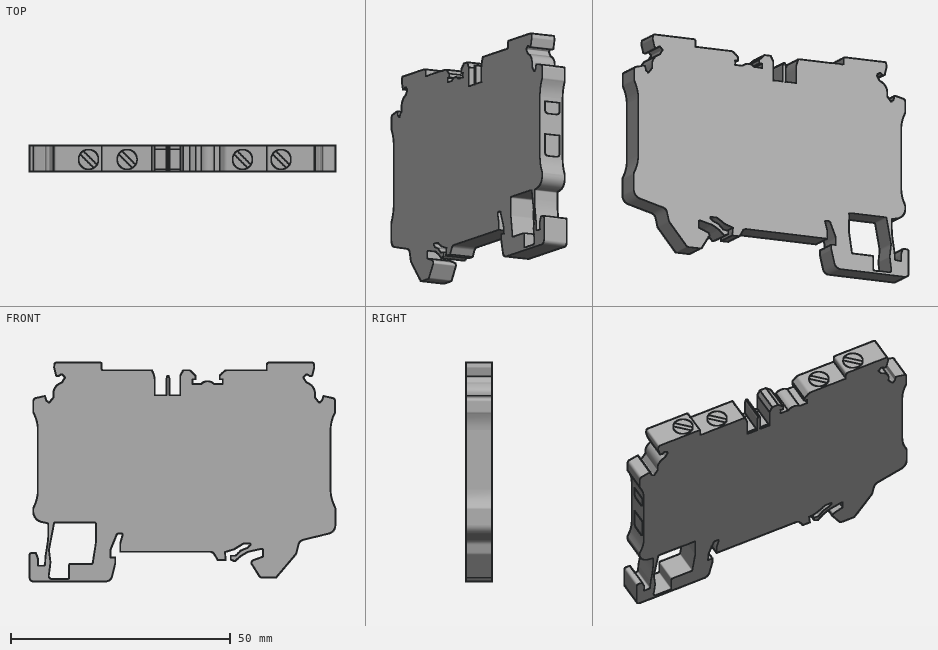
import cadquery as cq
import math


LENGTH = 69.7
HEIGHT = 49.9
THICKNESS = 6.0
MIRROR_SUM = 70.5
WALL_X = 1.9
CHEEK_X = 0.85
STEP_X = 16.45
DECK_Z = 48.15
BELLY_Z = 6.75
WALL_BLEND = 8.35

PIT_LEFT = 28.6
PIT_RIGHT = 34.3
PIT_FLOOR_Z = 42.45
FIN_LEFT = 31.15
FIN_RIGHT = 31.9
FIN_TIP_Z = 46.85
FIN_TAPER_X = 0.2
FIN_TAPER_Z = 0.7
PIT_LEAD_IN_X = 0.7
PIT_LEAD_IN_Z = 1.3
PIT_LEAD_IN_RADIUS = 4.9

GROOVE_X = 40.6
GROOVE_FLOOR_Z = 45.0
GROOVE_HALF_WIDTH = 3.4
LIP_HALF_WIDTH = 2.7
LIP_LOW_Z = 46.1
LIP_HIGH_Z = 46.9
MOUTH_HALF_WIDTH = 4.05
MOUTH_RADIUS = 1.05
HUMP_HALF_WIDTH = 1.45
HUMP_HEIGHT = 0.6

SCREW_DIAMETER = 4.5
SCREW_Y = 2.8
BLOCK_SCREWS_X = (13.45, 57.3)
DECK_SCREWS_X = (22.2, 48.5)
SLOT_WIDTH = 1.05
SLOT_ANGLE = -45.0
SINK = 0.1

ENTRY_WIDTH = 3.8
ENTRY_Y = 2.7
ENTRY_RADIUS = 0.85
UPPER_ENTRY_Z = (30.75, 33.5)
LOWER_ENTRY_Z = (20.9, 25.9)


def rounded_outline(corners):
    """Closed XZ wire through (x, z, radius) corners; radius 0 leaves a corner sharp."""
    path = None
    for i, (x, z, radius) in enumerate(corners):
        before = corners[i - 1]
        after = corners[(i + 1) % len(corners)]
        corner = cq.Vector(x, z)
        to_before = (cq.Vector(before[0], before[1]) - corner).normalized()
        to_after = (cq.Vector(after[0], after[1]) - corner).normalized()
        half_angle = to_before.getAngle(to_after) / 2
        tangent = radius / math.tan(half_angle)
        start = corner + to_before * tangent
        path = path.lineTo(start.x, start.y) if path else cq.Workplane("XZ").moveTo(start.x, start.y)
        if radius > 0:
            end = corner + to_after * tangent
            bisector = (to_before + to_after).normalized()
            middle = corner + bisector * (radius / math.sin(half_angle) - radius)
            path = path.threePointArc((middle.x, middle.y), (end.x, end.y))
    return path.close()


def mirrored(corners, x_sum):
    """The same corners reflected left to right, in the opposite order."""
    return [(x_sum - x, z, radius) for x, z, radius in reversed(corners)]


ear = [
    (WALL_X, 36.45, WALL_BLEND),
    (CHEEK_X, 38.55, 0.7),
    (CHEEK_X, 41.7, 0.8),
    (3.55, 42.3, 0.15),
    (3.8, 41.25, 0.15),
    (4.45, 40.7, 0.15),
    (5.45, 41.95, 0.2),
    (5.4, 44.4, 2.6),
    (7.4, 45.4, 0.35),
    (8.1, 46.5, 0.15),
    (7.3, 47.25, 0.2),
    (6.6, 46.8, 0.0),
    (6.05, 46.85, 0.15),
    (5.6, 48.8, 0.55),
    (5.7, HEIGHT, 0.5),
]

marker_pit = [
    (PIT_LEFT - PIT_LEAD_IN_X, DECK_Z, 0.0),
    (PIT_LEFT, DECK_Z - PIT_LEAD_IN_Z, PIT_LEAD_IN_RADIUS),
    (PIT_LEFT, PIT_FLOOR_Z, 0.0),
    (FIN_LEFT, PIT_FLOOR_Z, 0.0),
    (FIN_LEFT, FIN_TIP_Z - FIN_TAPER_Z, 0.0),
    (FIN_LEFT + FIN_TAPER_X, FIN_TIP_Z, 0.0),
    (FIN_RIGHT - FIN_TAPER_X, FIN_TIP_Z, 0.0),
    (FIN_RIGHT, FIN_TIP_Z - FIN_TAPER_Z, 0.0),
    (FIN_RIGHT, PIT_FLOOR_Z, 0.0),
    (PIT_RIGHT, PIT_FLOOR_Z, 0.0),
    (PIT_RIGHT, DECK_Z - PIT_LEAD_IN_Z, 0.0),
    (PIT_RIGHT + PIT_LEAD_IN_X, DECK_Z, 0.0),
]

groove_left_half = [
    (GROOVE_X - MOUTH_HALF_WIDTH, DECK_Z, 0.0),
    (GROOVE_X - LIP_HALF_WIDTH, LIP_HIGH_Z, 0.0),
    (GROOVE_X - LIP_HALF_WIDTH, LIP_LOW_Z, 0.0),
    (GROOVE_X - GROOVE_HALF_WIDTH, LIP_LOW_Z, 0.0),
    (GROOVE_X - GROOVE_HALF_WIDTH, GROOVE_FLOOR_Z, 0.0),
]
groove_right_half = mirrored(groove_left_half[1:], 2 * GROOVE_X)
groove_right_half.append((GROOVE_X + MOUTH_HALF_WIDTH, DECK_Z, MOUTH_RADIUS))

top_edge = (
    [(STEP_X, HEIGHT, 0.35), (STEP_X, DECK_Z, 0.3)]
    + marker_pit
    + groove_left_half
    + groove_right_half
    + [(MIRROR_SUM - STEP_X, DECK_Z, 0.0), (MIRROR_SUM - STEP_X, HEIGHT, 0.55)]
)

fixed_foot = [
    (MIRROR_SUM - WALL_X, 19.25, WALL_BLEND),
    (LENGTH, 16.7, 1.05),
    (LENGTH, 11.3, 2.0),
    (61.5, 9.3, 1.4),
    (60.8, 6.35, 1.05),
    (56.2, 0.9, 0.3),
    (52.55, 0.9, 0.55),
    (50.45, 4.2, 0.35),
    (50.75, 4.8, 0.3),
    (53.2, 5.7, 0.0),
    (53.2, 7.5, 0.3),
]

spring_tongue = [
    (49.8, 6.75, 2.1),
    (48.1, 5.8, 0.7),
    (46.8, 4.6, 0.2),
    (45.8, 5.0, 0.15),
    (45.8, 5.9, 0.0),
    (47.0, 5.9, 0.2),
    (48.15, 7.1, 0.35),
    (49.7, 7.75, 0.2),
    (50.6, 8.65, 0.2),
    (48.7, 8.65, 0.55),
    (46.55, 7.3, 0.7),
    (44.55, 6.7, 0.0),
    (44.75, 4.9, 0.0),
    (42.9, 4.9, 0.0),
    (41.75, BELLY_Z, 1.05),
]

foot_slit = [
    (20.6, BELLY_Z, 0.0),
    (20.6, 8.65, 0.7),
    (21.25, 10.9, 0.2),
    (20.0, 11.0, 0.6),
    (18.5, 7.25, 1.4),
    (18.5, 5.5, 0.0),
]

movable_foot = [
    (19.6, 5.5, 0.0),
    (19.6, 4.25, 0.55),
    (18.55, 0.0, 1.5),
    (0.0, 0.0, 0.9),
    (0.0, 6.55, 0.55),
    (1.45, 6.55, 0.3),
    (1.95, 5.15, 0.4),
    (1.95, 3.6, 0.0),
    (3.5, 3.6, 0.35),
    (3.6, 5.8, 0.0),
    (4.25, 9.6, 16.7),
    (4.25, 13.25, 0.3),
    (CHEEK_X, 13.95, 2.5),
    (CHEEK_X, 16.7, 0.6),
    (WALL_X, 18.75, WALL_BLEND),
]

window = [
    (5.65, 13.45, 0.35),
    (15.1, 13.45, 0.35),
    (15.1, 9.05, 1.4),
    (14.35, 4.05, 0.3),
    (9.0, 4.05, 0.35),
    (9.0, 0.6, 0.3),
    (4.3, 0.6, 0.6),
    (4.8, 4.3, 0.7),
    (4.45, 7.25, 1.4),
]


def prism(corners):
    return rounded_outline(corners).extrude(-THICKNESS)


def hump():
    """Low rounded ridge along the floor of the label groove."""
    return (
        cq.Workplane("XZ")
        .moveTo(GROOVE_X - HUMP_HALF_WIDTH, GROOVE_FLOOR_Z)
        .threePointArc((GROOVE_X, GROOVE_FLOOR_Z + HUMP_HEIGHT), (GROOVE_X + HUMP_HALF_WIDTH, GROOVE_FLOOR_Z))
        .close()
        .extrude(-THICKNESS)
    )


def screw_head_cut(x, surface_z):
    """Shallow round recess with a screwdriver slot sunk as deep again into its floor."""
    plane = cq.Workplane("XY", origin=(x, SCREW_Y, surface_z))
    head = plane.circle(SCREW_DIAMETER / 2).extrude(-SINK)
    slot_disc = plane.circle(SCREW_DIAMETER / 2).extrude(-2 * SINK)
    slot_bar = (
        plane.transformed(rotate=(0, 0, SLOT_ANGLE))
        .rect(SCREW_DIAMETER, SLOT_WIDTH)
        .extrude(-2 * SINK)
    )
    return head.union(slot_disc.intersect(slot_bar))


def contact_cut(left, right):
    """Contact bar showing in the floor of the marker pit."""
    return (
        cq.Workplane("XY")
        .box(right - left, SCREW_DIAMETER, SINK, centered=(False, True, False))
        .translate((left, SCREW_Y, PIT_FLOOR_Z - SINK))
    )


def wire_entry_cut(bottom, top):
    """Wire entry with rounded lower corners, sunk into the left end wall."""
    return (
        cq.Workplane("XY")
        .box(SINK, ENTRY_WIDTH, top - bottom, centered=(False, True, False))
        .edges("|X and <Z")
        .fillet(ENTRY_RADIUS)
        .translate((WALL_X, ENTRY_Y, bottom))
    )


outline = (
    ear + top_edge + mirrored(ear, MIRROR_SUM)
    + fixed_foot + spring_tongue + foot_slit + movable_foot
)
result = prism(outline).cut(prism(window)).union(hump())

for screw_x in BLOCK_SCREWS_X:
    result = result.cut(screw_head_cut(screw_x, HEIGHT))
for screw_x in DECK_SCREWS_X:
    result = result.cut(screw_head_cut(screw_x, DECK_Z))
for left, right in ((PIT_LEFT, FIN_LEFT), (FIN_RIGHT, PIT_RIGHT)):
    result = result.cut(contact_cut(left, right))
for bottom, top in (UPPER_ENTRY_Z, LOWER_ENTRY_Z):
    result = result.cut(wire_entry_cut(bottom, top))